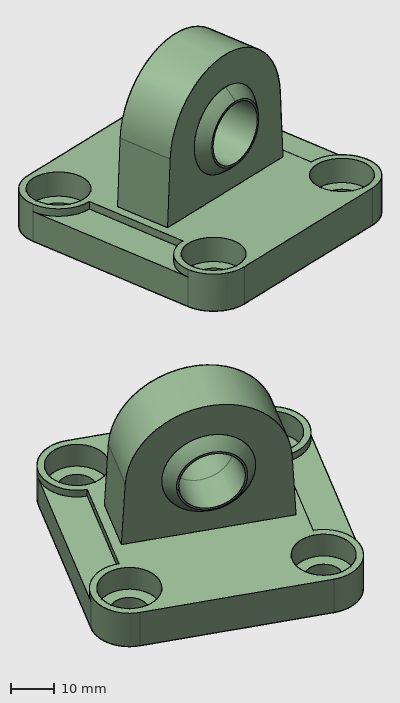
import cadquery as cq
import math

base_size = 65.0
base_thickness = 10.0
corner_radius = 9.2
hole_offset = base_size / 2 - corner_radius
hole_diameter = 9.0
counterbore_diameter = 15.0
counterbore_depth = 6.5
edge_step_depth = 2.0

lug_thickness = 15.0
lug_radius = 20.0
lug_foot_width = 41.85
total_height = 47.0
axis_height = total_height - lug_radius

ball_radius = 13.5
ball_width = 21.0
bore_diameter = 16.0

hole_points = [(x, y) for x in (-hole_offset, hole_offset) for y in (-hole_offset, hole_offset)]


def make_base():
    """Square plate with low front and back edges and raised round corner bosses."""
    plate = cq.Workplane("XY").box(base_size, base_size, base_thickness, centered=(True, True, False))
    plate = plate.edges("|Z").fillet(corner_radius)
    bosses = (
        cq.Workplane("XY")
        .pushPoints(hole_points)
        .circle(corner_radius)
        .extrude(base_thickness)
    )
    edge_steps = (
        cq.Workplane("XY", origin=(0, 0, base_thickness))
        .pushPoints([(0, -base_size / 2), (0, base_size / 2)])
        .rect(2 * hole_offset, 2 * corner_radius)
        .extrude(-edge_step_depth)
        .cut(bosses)
    )
    return (
        plate.cut(edge_steps)
        .faces(">Z")
        .workplane(origin=(0, 0, base_thickness))
        .pushPoints(hole_points)
        .cboreHole(hole_diameter, counterbore_diameter, counterbore_depth)
    )


def make_lug():
    """Tapered lug whose slanted sides run tangent into the round top."""
    half_foot = lug_foot_width / 2
    drop = axis_height - base_thickness
    tangent_angle = math.acos(lug_radius / math.hypot(half_foot, drop)) - math.atan2(drop, half_foot)
    tangent_y = lug_radius * math.cos(tangent_angle)
    tangent_z = axis_height + lug_radius * math.sin(tangent_angle)
    return (
        cq.Workplane("YZ")
        .moveTo(-half_foot, base_thickness)
        .lineTo(half_foot, base_thickness)
        .lineTo(tangent_y, tangent_z)
        .threePointArc((0, total_height), (-tangent_y, tangent_z))
        .close()
        .extrude(lug_thickness / 2, both=True)
    )


def make_ball():
    """Sphere trimmed flat at both ends."""
    trim = cq.Workplane("YZ").circle(ball_radius).extrude(ball_width / 2, both=True)
    return cq.Workplane("XY").sphere(ball_radius).intersect(trim).translate((0, 0, axis_height))


bore = (
    cq.Workplane("YZ", origin=(0, 0, axis_height))
    .circle(bore_diameter / 2)
    .extrude(ball_width, both=True)
)

result = make_base().union(make_lug()).union(make_ball()).cut(bore)